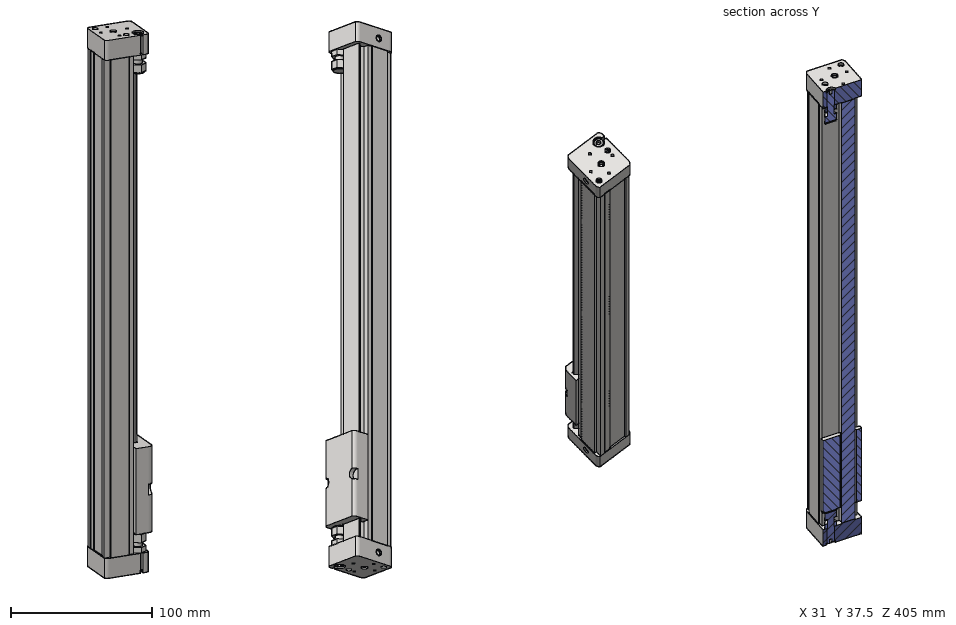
import cadquery as cq
import math

LENGTH = 405.0
WIDTH = 31.0
DEPTH = 37.5
CAP_LENGTH = 15.0
HALF_WIDTH = WIDTH / 2
BACK_Y = -DEPTH / 2
CARRIAGE_TOP_Y = DEPTH / 2
CAP_FACE_Z = LENGTH / 2 - CAP_LENGTH

BODY_HALF_WIDTH = 15.0
FOOT_HALF_WIDTH = 13.5
FOOT_TOP_Y = -14.0
SIDE_PAD_TOP_Y = 0.5
SHOULDER_HALF_WIDTH = 14.0
SHOULDER_Y = 4.0
RAIL_X = -5.0
RAIL_ROOT_HALF_WIDTH = 5.3
RAIL_NECK_HALF_WIDTH = 4.5
RAIL_NECK_Y = 7.0
RAIL_LIP_Y = 10.5
RAIL_LIP_HALF_WIDTH = RAIL_NECK_HALF_WIDTH + RAIL_LIP_Y - RAIL_NECK_Y
RAIL_TOP_Y = 11.7
BACK_SLOT_START_X = -4.5
BACK_SLOT_END_X = 10.0
BACK_SLOT_DEPTH = 1.2
BACK_STEP_X = -9.5
BACK_STEP_DEPTH = 0.5

STOP_X = 9.5
STOP_Y = 9.7
HEX_FLATS = 10.0
SHANK_DIAMETER = 6.5
SHANK_END_RECESS = 1.0
SOCKET_FLATS = 3.2
SOCKET_DEPTH = 3.2
NUT_HEIGHT = 4.0
HEAD_INNER_Z = 173.7
HEAD_HEIGHT = 6.0
BUMPER_DIAMETER = 9.5
BUMPER_THICKNESS = 1.0

CAP_TOP_Y = 15.8
CAP_CORNER_INSET = 1.5
CAP_CORNER_DROP = 3.2
STOP_COUNTERBORE_DIAMETER = 8.0
STOP_COUNTERBORE_DEPTH = 1.5
CLAMP_SLIT_WIDTH = 2.0
BORE_X = -1.0
BORE_Y = -5.0
PORT_DIAMETER = 5.0
PORT_CORE_DIAMETER = 3.2
PORT_DEPTH = 1.2
PORT_CORE_DEPTH = 4.0
SIDE_PORT_Y = -5.3
SIDE_PORT_Z = LENGTH / 2 - 7.5
PIN_HOLE_DIAMETER = 2.0
PIN_HOLE_DEPTH = 4.0
PIN_HOLE_POINTS = [(-1.5, 6.5), (-1.5, -14.0), (-10.5, BORE_Y), (9.7, BORE_Y)]
SCREW_HOLE_DIAMETER = 4.0
SCREW_HOLE_DEPTH = 2.0
SCREW_HOLE_POINTS = [(9.7, 0.5), (-11.0, -14.0)]

CARRIAGE_LENGTH = 65.0
CARRIAGE_START_Z = -HEAD_INNER_Z + BUMPER_THICKNESS
CARRIAGE_BOTTOM_Y = 5.3
CARRIAGE_CORNER_INSET = 2.0
CARRIAGE_CORNER_DROP = 3.5
RAIL_CLEARANCE = 0.5
EDGE_NOTCH_DIAMETER = 8.0
EDGE_NOTCH_INSET = 1.0


def rail_section(root_y, clearance=0.0):
    """Dovetail outline: a short flared root, a narrow neck and a wide lip."""
    points = [
        (RAIL_ROOT_HALF_WIDTH + clearance, root_y),
        (RAIL_NECK_HALF_WIDTH + clearance, RAIL_NECK_Y - clearance),
        (RAIL_LIP_HALF_WIDTH + clearance, RAIL_LIP_Y - clearance),
        (RAIL_LIP_HALF_WIDTH + clearance, RAIL_TOP_Y + clearance),
    ]
    right_side = [(RAIL_X + x, y) for x, y in points]
    left_side = [(RAIL_X - x, y) for x, y in reversed(points)]
    return cq.Workplane("XY").polyline(right_side + left_side).close()


def block(x_start, x_end, y_start, y_end, z_start, z_end):
    """Rectangular block between two opposite corners."""
    size = (x_end - x_start, y_end - y_start, z_end - z_start)
    return cq.Workplane("XY").box(*size, centered=False).translate((x_start, y_start, z_start))


def rounded_bar(bottom_y, top_y, inset, drop, z_start, z_end):
    """Full-width bar along Z whose sides curve in tangentially by inset over the first and last drop."""
    side_radius = (inset**2 + drop**2) / (2 * inset)
    half_angle = math.atan2(inset, drop)
    middle_x = HALF_WIDTH - side_radius * (1 - math.cos(half_angle))
    middle_drop = drop - side_radius * math.sin(half_angle)

    section = (
        cq.Workplane("XY", origin=(0, 0, z_start))
        .moveTo(0, bottom_y)
        .lineTo(HALF_WIDTH - inset, bottom_y)
        .threePointArc((middle_x, bottom_y + middle_drop), (HALF_WIDTH, bottom_y + drop))
        .lineTo(HALF_WIDTH, top_y - drop)
        .threePointArc((middle_x, top_y - middle_drop), (HALF_WIDTH - inset, top_y))
        .lineTo(0, top_y)
        .mirrorY()
    )
    return section.extrude(z_end - z_start)


def rod(x, y, z_start, z_end, diameter):
    """Round bar along Z."""
    plane = cq.Workplane("XY", origin=(x, y, z_start))
    return plane.circle(diameter / 2).extrude(z_end - z_start)


def hexagon(z_start, z_end, flats):
    """Hexagonal bar on the stop axis, with two flats facing along Y."""
    corner_diameter = 2 * flats / math.sqrt(3)
    plane = cq.Workplane("XY", origin=(STOP_X, STOP_Y, z_start))
    return plane.polygon(6, corner_diameter).extrude(z_end - z_start)


def make_profile():
    """Extruded body between the caps: a narrow foot, wide sides and the rail on top."""
    length = 2 * CAP_FACE_Z

    right_side = [
        (FOOT_HALF_WIDTH, BACK_Y),
        (FOOT_HALF_WIDTH, FOOT_TOP_Y),
        (BODY_HALF_WIDTH, FOOT_TOP_Y),
        (BODY_HALF_WIDTH, SIDE_PAD_TOP_Y),
        (SHOULDER_HALF_WIDTH, SIDE_PAD_TOP_Y),
        (SHOULDER_HALF_WIDTH, SHOULDER_Y),
    ]
    left_side = [(-x, y) for x, y in reversed(right_side)]
    body = cq.Workplane("XY").polyline(right_side + left_side).close().extrude(length)
    profile = body.union(rail_section(SHOULDER_Y).extrude(length))
    profile = profile.translate((0, 0, -CAP_FACE_Z))

    slot_floor_y = BACK_Y + BACK_SLOT_DEPTH
    step_floor_y = BACK_Y + BACK_STEP_DEPTH
    slot = block(BACK_SLOT_START_X, BACK_SLOT_END_X, BACK_Y, slot_floor_y, -CAP_FACE_Z, CAP_FACE_Z)
    step = block(BACK_STEP_X, BACK_SLOT_START_X, BACK_Y, step_floor_y, -CAP_FACE_Z, CAP_FACE_Z)
    return profile.cut(slot).cut(step)


def make_cap():
    """End cap at the +Z end."""
    end_z = LENGTH / 2
    cap = rounded_bar(BACK_Y, CAP_TOP_Y, CAP_CORNER_INSET, CAP_CORNER_DROP, CAP_FACE_Z, end_z)

    cap = cap.cut(rod(STOP_X, STOP_Y, CAP_FACE_Z, end_z, SHANK_DIAMETER))
    cap = cap.cut(rod(STOP_X, STOP_Y, end_z - STOP_COUNTERBORE_DEPTH, end_z, STOP_COUNTERBORE_DIAMETER))
    slit_start_y = STOP_Y - CLAMP_SLIT_WIDTH / 2
    slit_end_y = STOP_Y + CLAMP_SLIT_WIDTH / 2
    cap = cap.cut(block(STOP_X, HALF_WIDTH, slit_start_y, slit_end_y, CAP_FACE_Z, end_z))

    end_port = rod(BORE_X, BORE_Y, end_z - PORT_DEPTH, end_z, PORT_DIAMETER)
    end_core = rod(BORE_X, BORE_Y, end_z - PORT_CORE_DEPTH, end_z, PORT_CORE_DIAMETER)
    side_plane = cq.Workplane("YZ", origin=(-HALF_WIDTH, SIDE_PORT_Y, SIDE_PORT_Z))
    side_port = side_plane.circle(PORT_DIAMETER / 2).extrude(PORT_DEPTH)
    side_core = side_plane.circle(PORT_CORE_DIAMETER / 2).extrude(PORT_CORE_DEPTH)
    for cutter in (end_port, end_core, side_port, side_core):
        cap = cap.cut(cutter)

    for x, y in PIN_HOLE_POINTS + SCREW_HOLE_POINTS:
        cap = cap.cut(rod(x, y, end_z - PIN_HOLE_DEPTH, end_z, PIN_HOLE_DIAMETER))
    for x, y in SCREW_HOLE_POINTS:
        cap = cap.cut(rod(x, y, end_z - SCREW_HOLE_DEPTH, end_z, SCREW_HOLE_DIAMETER))
    return cap


def make_stop_screw():
    """Hexagon-headed stop screw at the +Z end, with a hexagon socket in its outer end."""
    head_outer_z = HEAD_INNER_Z + HEAD_HEIGHT
    shank_end_z = LENGTH / 2 - SHANK_END_RECESS
    head = hexagon(HEAD_INNER_Z, head_outer_z, HEX_FLATS)
    shank = rod(STOP_X, STOP_Y, head_outer_z, shank_end_z, SHANK_DIAMETER)
    socket = hexagon(shank_end_z - SOCKET_DEPTH, shank_end_z, SOCKET_FLATS)
    return head.union(shank).cut(socket)


def make_lock_nut():
    """Nut on the +Z stop screw, tight against the cap."""
    nut_start_z = CAP_FACE_Z - NUT_HEIGHT
    nut = hexagon(nut_start_z, CAP_FACE_Z, HEX_FLATS)
    return nut.cut(rod(STOP_X, STOP_Y, nut_start_z, CAP_FACE_Z, SHANK_DIAMETER))


def make_bumper():
    """Round pad on the inner face of the +Z stop screw's head."""
    return rod(STOP_X, STOP_Y, HEAD_INNER_Z - BUMPER_THICKNESS, HEAD_INNER_Z, BUMPER_DIAMETER)


def make_carriage():
    """Slider whose groove fits around the rail."""
    end_z = CARRIAGE_START_Z + CARRIAGE_LENGTH

    bar_bottom_y = CARRIAGE_BOTTOM_Y - CARRIAGE_CORNER_DROP
    carriage = rounded_bar(
        bar_bottom_y,
        CARRIAGE_TOP_Y,
        CARRIAGE_CORNER_INSET,
        CARRIAGE_CORNER_DROP,
        CARRIAGE_START_Z,
        end_z,
    )
    underside = block(
        -HALF_WIDTH, HALF_WIDTH, bar_bottom_y, CARRIAGE_BOTTOM_Y, CARRIAGE_START_Z, end_z
    )
    carriage = carriage.cut(underside)

    groove = rail_section(SHOULDER_Y, RAIL_CLEARANCE).extrude(CARRIAGE_LENGTH)
    carriage = carriage.cut(groove.translate((0, 0, CARRIAGE_START_Z)))

    notch_x = HALF_WIDTH - EDGE_NOTCH_INSET
    middle_z = CARRIAGE_START_Z + CARRIAGE_LENGTH / 2
    for x in (-notch_x, notch_x):
        plane = cq.Workplane("XZ", origin=(x, CARRIAGE_TOP_Y, middle_z))
        carriage = carriage.cut(plane.circle(EDGE_NOTCH_DIAMETER / 2).extrude(CARRIAGE_CORNER_DROP))
    return carriage


def at_both_ends(upper):
    """The +Z copy of a part and its mirror image at the -Z end, as two solids."""
    return [upper.val(), upper.mirror("XY").val()]


profile = make_profile()
caps = at_both_ends(make_cap())
stop_screws = at_both_ends(make_stop_screw())
lock_nuts = at_both_ends(make_lock_nut())
bumpers = at_both_ends(make_bumper())
carriage = make_carriage()

result = cq.Compound.makeCompound(
    [profile.val(), *caps, *stop_screws, *lock_nuts, *bumpers, carriage.val()]
)